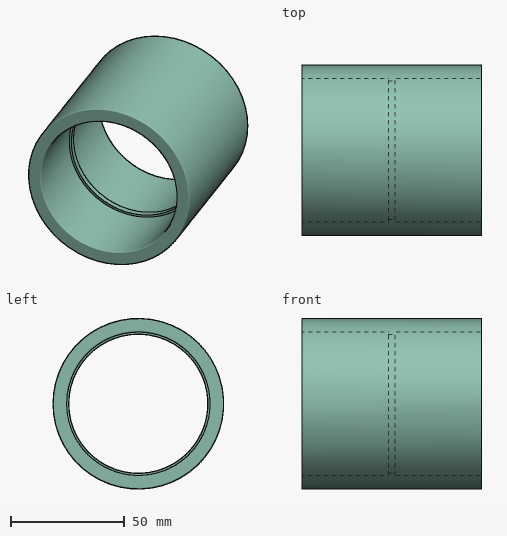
import cadquery as cq

length = 79.0
outer_diameter = 75.0
bore_diameter = 63.0
stop_diameter = 61.0
stop_width = 3.0
edge_radius = 0.5

socket_depth = (length - stop_width) / 2


def x_cylinder(diameter, start, depth):
    """Solid cylinder along X, beginning at X = start."""
    return cq.Workplane("YZ", origin=(start, 0, 0)).circle(diameter / 2).extrude(depth)


sleeve = x_cylinder(outer_diameter, -length / 2, length)
sleeve = sleeve.cut(x_cylinder(stop_diameter, -length / 2, length))

for socket_start in (-length / 2, stop_width / 2):
    sleeve = sleeve.cut(x_cylinder(bore_diameter, socket_start, socket_depth))

result = sleeve.faces("<X or >X").edges().fillet(edge_radius)